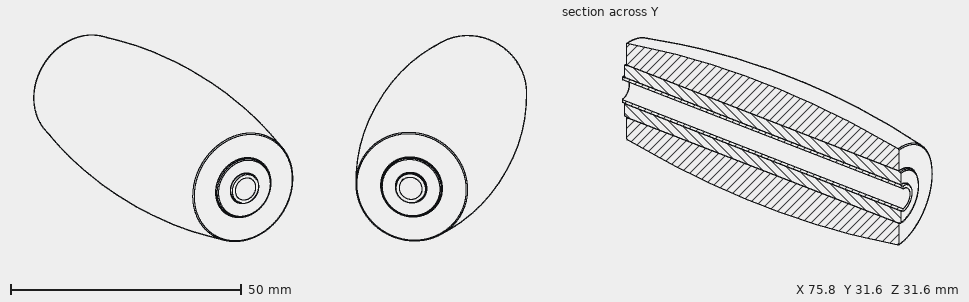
import cadquery as cq

axle_length = 75.8
end_step = 0.5
bore_diameter = 5.0
axle_diameter = 6.5
tube_diameter = 13.2
grip_end_diameter = 24.55
grip_middle_diameter = 31.6
edge_chamfer = 0.2

tube_length = axle_length - 2 * end_step
grip_length = tube_length - 2 * end_step

smallest_circles = cq.selectors.RadiusNthSelector(0)
largest_circles = cq.selectors.RadiusNthSelector(-1)


def hollow_cylinder(length, outside, inside):
    """Tube centred on the origin, with its axis along X."""
    return (
        cq.Workplane("YZ")
        .circle(outside / 2)
        .circle(inside / 2)
        .extrude(length / 2, both=True)
    )


def chamfer_ends(body, circles):
    """Bevel the selected circles on both end faces."""
    return body.faces("<X or >X").edges(circles).chamfer(edge_chamfer)


def make_axle():
    """Plain hollow axle."""
    return hollow_cylinder(axle_length, axle_diameter, bore_diameter)


def make_bearing_tube():
    """Tube around the axle, bevelled at rims and bore mouths."""
    tube = hollow_cylinder(tube_length, tube_diameter, axle_diameter)
    tube = chamfer_ends(tube, largest_circles)
    return chamfer_ends(tube, smallest_circles)


def make_grip():
    """Barrel with an arched side and a straight bore, bevelled at rims and bore mouths."""
    half_length = grip_length / 2
    end_radius = grip_end_diameter / 2
    bore_radius = tube_diameter / 2
    barrel = (
        cq.Workplane("XY")
        .moveTo(-half_length, bore_radius)
        .lineTo(-half_length, end_radius)
        .threePointArc((0, grip_middle_diameter / 2), (half_length, end_radius))
        .lineTo(half_length, bore_radius)
        .close()
        .revolve(360, (0, 0, 0), (1, 0, 0))
    )
    barrel = chamfer_ends(barrel, largest_circles)
    return chamfer_ends(barrel, smallest_circles)


axle = make_axle()
bearing_tube = make_bearing_tube()
grip = make_grip()

result = cq.Compound.makeCompound([grip.val(), bearing_tube.val(), axle.val()])